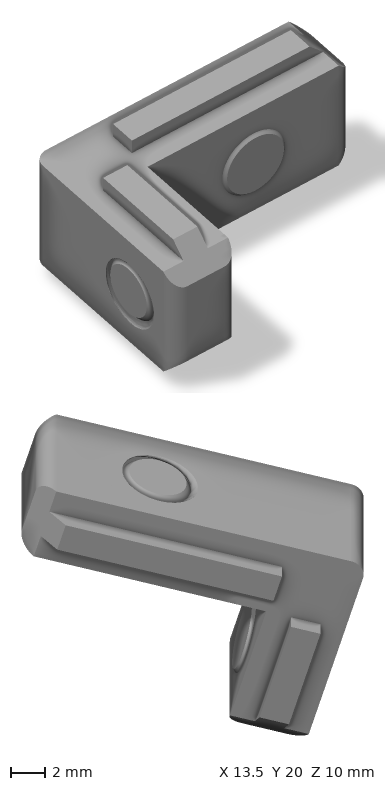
import cadquery as cq

SIZE_X = 13.5
SIZE_Y = 20.0
SIZE_Z = 10.0
LEG_WIDTH = 4.8
RIB_WIDTH = 1.8
RIB_HEIGHT = 1.0
CORNER_RADIUS = 1.0
END_CHAMFER = 2.0
BODY_HEIGHT = SIZE_Z - 2 * RIB_HEIGHT
RIB_OFFSET = (LEG_WIDTH - RIB_WIDTH) / 2

SCREW_X = 9.15
SCREW_Y = 12.8
MAJOR_DIAMETER = 5.0
MINOR_DIAMETER = 4.25
PITCH = 0.8
THREAD_START_ANGLE = 45.0
FACE_DIAMETER = 3.5
SCREW_LENGTH = 5.0
BEVEL_ANGLE = 45.0
PROTRUSION = SCREW_LENGTH - LEG_WIDTH
NOSE_LENGTH = (MINOR_DIAMETER - FACE_DIAMETER) / 2
SECTION_RADIUS = (MAJOR_DIAMETER + MINOR_DIAMETER) / 4
ECCENTRICITY = (MAJOR_DIAMETER - MINOR_DIAMETER) / 4

SCREW_FRAMES = [
    cq.Plane(origin=(SCREW_X, 0, 0), xDir=(1, 0, 0), normal=(0, 1, 0)),
    cq.Plane(origin=(0, SCREW_Y, 0), xDir=(0, -1, 0), normal=(1, 0, 0)),
]


def l_body():
    """L-shaped block with every vertical edge rounded except the inner corner."""
    leg_x = cq.Workplane().box(SIZE_X, LEG_WIDTH, BODY_HEIGHT, centered=(False, False, True))
    leg_y = cq.Workplane().box(LEG_WIDTH, SIZE_Y, BODY_HEIGHT, centered=(False, False, True))
    block = leg_x.union(leg_y)
    inner_edge = cq.selectors.NearestToPointSelector((LEG_WIDTH, LEG_WIDTH, 0))
    outer_edges = cq.StringSyntaxSelector("|Z") - inner_edge
    return block.edges(outer_edges).fillet(CORNER_RADIUS)


def ribs():
    """Ribs above and below both legs, running from the inner corner to the leg ends.

    Each pair is one full-height bar whose middle merges with the block.
    """
    bar_x = (
        cq.Workplane()
        .box(SIZE_X - LEG_WIDTH, RIB_WIDTH, SIZE_Z, centered=(False, False, True))
        .translate((LEG_WIDTH, RIB_OFFSET, 0))
    )
    bar_y = (
        cq.Workplane()
        .box(RIB_WIDTH, SIZE_Y - LEG_WIDTH, SIZE_Z, centered=(False, False, True))
        .translate((RIB_OFFSET, LEG_WIDTH, 0))
    )
    return bar_x.union(bar_y)


def end_chamfer_envelope():
    """Block around the whole part whose +X and +Y ends are chamfered top and bottom."""
    block = cq.Workplane().box(SIZE_X, SIZE_Y, SIZE_Z, centered=(False, False, True))
    for end_face, across in ((">X", "|Y"), (">Y", "|X")):
        block = block.faces(end_face).edges(across).chamfer(END_CHAMFER)
    return block


def at_depth(frame, depth):
    """Copy of a screw frame moved the given distance into the leg."""
    return cq.Plane(frame.origin + frame.zDir * depth, xDir=frame.xDir, normal=frame.zDir)


def thread_section(frame, depth):
    """Workplane at the given depth, centred on the thread's off-axis circle there."""
    angle = THREAD_START_ANGLE + 360 * depth / PITCH
    return cq.Workplane(at_depth(frame, depth)).polarArray(ECCENTRICITY, angle, 360, 1)


def thread_column(frame, start, end):
    """Rounded single-start thread: an off-axis circle twisted one turn per pitch.

    The circle reaches from the minor radius on one side to the major radius on the other.
    """
    length = end - start
    twist_angle = 360 * length / PITCH
    return thread_section(frame, start).circle(SECTION_RADIUS).twistExtrude(length, twist_angle)


def tapered_nose(frame):
    """Cone at the driven end, narrowing from the minor diameter to a face flush with the leg."""
    return (
        cq.Workplane(at_depth(frame, NOSE_LENGTH))
        .circle(MINOR_DIAMETER / 2)
        .extrude(-NOSE_LENGTH, taper=BEVEL_ANGLE)
    )


def bevelled_tip(frame):
    """Bevelled end of the screw standing out of the leg's inner face."""
    return (
        thread_section(frame, LEG_WIDTH)
        .circle(SECTION_RADIUS)
        .extrude(PROTRUSION, taper=BEVEL_ANGLE)
    )


def set_screw(frame):
    """Headless screw: conical nose, thread filling the hole, bevelled tip."""
    thread = thread_column(frame, NOSE_LENGTH, LEG_WIDTH)
    return thread.union(tapered_nose(frame)).union(bevelled_tip(frame))


def make_bracket():
    """Bracket with a tapped hole through each leg."""
    bracket = l_body().union(ribs()).intersect(end_chamfer_envelope())
    for frame in SCREW_FRAMES:
        bracket = bracket.cut(thread_column(frame, 0, NOSE_LENGTH))
        bracket = bracket.cut(thread_column(frame, NOSE_LENGTH, LEG_WIDTH))
    return bracket


bracket = make_bracket()
set_screws = [set_screw(frame).val() for frame in SCREW_FRAMES]

result = cq.Compound.makeCompound([bracket.val(), *set_screws])